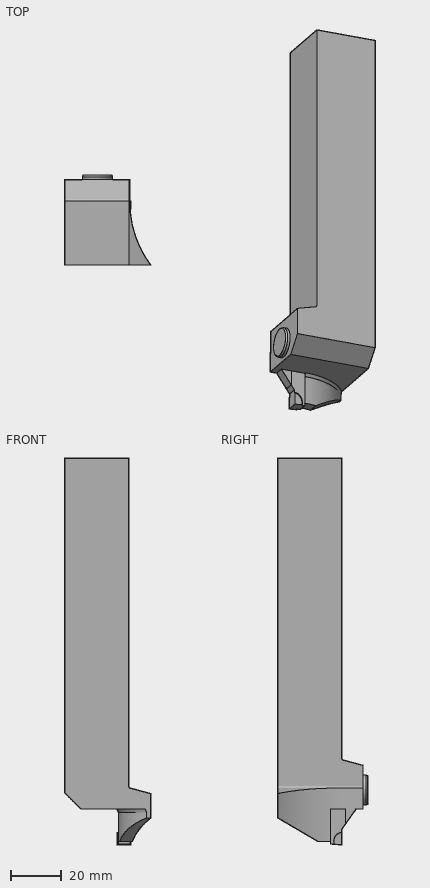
import cadquery as cq
import math

total_height = 152.4
shank_width = 25.3

head_right = 34.0
head_depth = 33.7
head_bottom = 14.2
corner_chamfer = 6.4
shoulder_outer_z = 20.3
shoulder_radius = 0.8
shoulder_angle = math.radians(15)
rear_shoulder_z = 31.4

blade_inner_x = 21.2
blade_outer_x = 25.8
blade_arc_end_y = 24.4
blade_tip_width = 1.7
blade_front_z = 10.7
blade_bottom = 1.4
blade_slope_end_y = 15.8
jaw_rear_y = 31.0
root_height = 1.4
root_width = 0.6

screw_diameter = 11.9
screw_height = 1.8
screw_x = 13.0
screw_z = 21.6
screw_edge_height = 0.8
screw_edge_inset = 0.3

insert_front_y = 20.7
insert_rear_y = 26.7
rake_y = shank_width
rake_top_z = 6.2
insert_clearance = 0.38
tip_overhang = 0.5
tip_front_y = 22.1
tip_height = 5.0
tip_side_z = 1.0


def arc_middle_x(front_x, rear_x, rear_y):
    """X at half depth on an arc that runs parallel to Y at its rear end."""
    rise = front_x - rear_x
    radius = (rear_y**2 + rise**2) / (2 * rise)
    return rear_x + radius - math.sqrt(radius**2 - (rear_y / 2) ** 2)


def prism_along_x(points, x_start, x_end):
    """Extrude a closed YZ outline between two X positions."""
    return cq.Workplane("YZ", origin=(x_start, 0, 0)).polyline(points).close().extrude(x_end - x_start)


outer_middle = (arc_middle_x(head_right, blade_outer_x, blade_arc_end_y), blade_arc_end_y / 2)
shoulder_slope = math.tan(shoulder_angle)
shoulder_inner_z = shoulder_outer_z + (head_right - shank_width) * shoulder_slope
rear_shoulder_top = rear_shoulder_z + (head_depth - shank_width) * shoulder_slope


def rounded_at(prism, axis, corner):
    """Round the edge of a prism along the given axis that passes nearest to a point."""
    edges = prism.edges("|" + axis).edges(cq.selectors.NearestToPointSelector(corner))
    return prism.newObject(edges.vals()).fillet(shoulder_radius)


def make_shank_and_head():
    plan = (
        cq.Workplane("XY", origin=(0, 0, head_bottom))
        .moveTo(0, 0)
        .lineTo(head_right, 0)
        .threePointArc(outer_middle, (blade_outer_x, blade_arc_end_y))
        .lineTo(blade_outer_x, head_depth)
        .lineTo(0, head_depth)
        .close()
        .extrude(total_height - head_bottom)
    )
    front = (
        cq.Workplane("XZ")
        .polyline(
            [
                (corner_chamfer, head_bottom),
                (head_right, head_bottom),
                (head_right, shoulder_outer_z),
                (shank_width, shoulder_inner_z),
                (shank_width, total_height),
                (0, total_height),
                (0, head_bottom + corner_chamfer),
            ]
        )
        .close()
        .extrude(-head_depth)
    )
    front = rounded_at(front, "Y", (shank_width, head_depth / 2, shoulder_inner_z))
    side = prism_along_x(
        [
            (0, head_bottom),
            (head_depth, head_bottom),
            (head_depth, rear_shoulder_z),
            (shank_width, rear_shoulder_top),
            (shank_width, total_height),
            (0, total_height),
        ],
        0,
        head_right,
    )
    side = rounded_at(side, "X", (head_right / 2, shank_width, rear_shoulder_top))
    return plan.intersect(front).intersect(side)


def blade_plan(inner_offset, rear_y):
    """Blade cross-section as a closed outline, its inner face moved outwards along -X."""
    inner_x = blade_inner_x - inner_offset
    front_x = head_right - blade_tip_width - inner_offset
    return (
        cq.Workplane("XY")
        .moveTo(head_right, 0)
        .threePointArc(outer_middle, (blade_outer_x, blade_arc_end_y))
        .lineTo(blade_outer_x, rear_y)
        .lineTo(inner_x, rear_y)
        .lineTo(inner_x, insert_front_y)
        .threePointArc(
            (arc_middle_x(front_x, inner_x, insert_front_y), insert_front_y / 2),
            (front_x, 0),
        )
        .close()
    )


jaw_slope = (head_bottom - rake_top_z) / (jaw_rear_y - rake_y)
jaw_tip_z = rake_top_z + (insert_rear_y - rake_y) * jaw_slope


def make_blade():
    wall = blade_plan(0, jaw_rear_y).extrude(head_bottom)
    lower_blade = prism_along_x(
        [
            (0, head_bottom),
            (0, blade_front_z),
            (blade_slope_end_y, blade_bottom),
            (insert_front_y, blade_bottom),
            (insert_front_y, head_bottom),
        ],
        blade_inner_x,
        head_right,
    )
    upper_jaw = prism_along_x(
        [(insert_rear_y, head_bottom), (insert_rear_y, jaw_tip_z), (jaw_rear_y, head_bottom)],
        blade_inner_x,
        head_right,
    )
    return wall.intersect(lower_blade.union(upper_jaw))


def make_blade_root():
    """Sloping blend between the inner blade face and the underside of the head."""
    lower = blade_plan(0, jaw_rear_y).wires().val()
    upper = blade_plan(root_width, jaw_rear_y).wires().val()
    blend = cq.Solid.makeLoft(
        [
            lower.translate(cq.Vector(0, 0, head_bottom - root_height)),
            upper.translate(cq.Vector(0, 0, head_bottom)),
        ],
        True,
    )
    front_region = cq.Workplane("XY").box(head_right, insert_front_y, head_bottom, centered=False)
    return front_region.intersect(cq.Workplane(blend))


def make_screw_head():
    radius = screw_diameter / 2
    straight_height = screw_height - screw_edge_height
    return (
        cq.Workplane("XY")
        .polyline(
            [
                (0, 0),
                (radius, 0),
                (radius, straight_height),
                (radius - screw_edge_inset, screw_height),
                (0, screw_height),
            ]
        )
        .close()
        .revolve(360, (0, 0), (0, 1))
        .translate((screw_x, head_depth, screw_z))
    )


def make_holder():
    holder = make_shank_and_head().union(make_blade())
    return holder.union(make_blade_root()).union(make_screw_head())


def make_insert():
    body = prism_along_x(
        [
            (insert_front_y, insert_clearance),
            (rake_y, 0),
            (rake_y, rake_top_z),
            (insert_rear_y, jaw_tip_z),
            (insert_rear_y, head_bottom),
            (insert_front_y, head_bottom),
        ],
        blade_inner_x,
        blade_outer_x,
    )
    tip_clearance = insert_clearance * (rake_y - tip_front_y) / (rake_y - insert_front_y)
    diagonal = math.sqrt(0.5)
    tip_middle = (
        rake_y - diagonal * (rake_y - tip_front_y),
        tip_side_z + diagonal * (tip_height - tip_side_z),
    )
    tip = (
        cq.Workplane("YZ", origin=(blade_inner_x - tip_overhang, 0, 0))
        .moveTo(rake_y, 0)
        .lineTo(rake_y, tip_height)
        .threePointArc(tip_middle, (tip_front_y, tip_side_z))
        .lineTo(tip_front_y, tip_clearance)
        .close()
        .extrude(blade_outer_x - blade_inner_x + 2 * tip_overhang)
    )
    return body.union(tip)


holder = make_holder()
insert = make_insert()
result = cq.Compound.makeCompound([holder.solids().val(), insert.solids().val()])